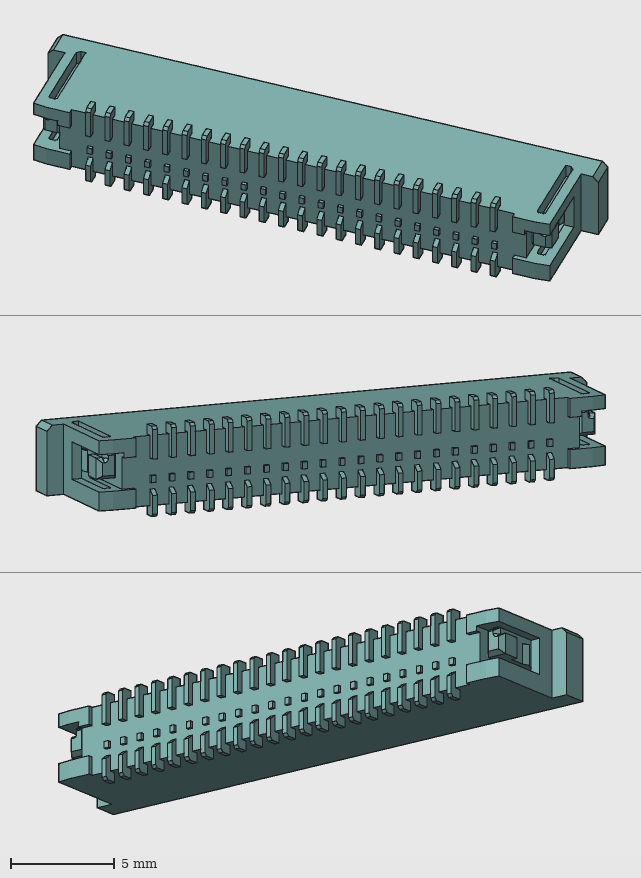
import cadquery as cq
import math

LENGTH = 28.6
DEPTH = 5.75
HEIGHT = 4.5

BODY_HEIGHT = 3.5
BODY_LENGTH = 26.83
FLANGE_DEPTH = 1.32
FLANGE_CHAMFER = 0.3
BODY_DEPTH = 5.4
ARM_DEPTH = 5.65
ARM_LENGTH = 1.92
ARM_HEIGHT = 0.95
ARM_TAPER_LENGTH = 0.72
ARM_TAPER_DEPTH = 0.1

POCKET_BACK = 2.32
POCKET_WIDTH = 1.3
POCKET_ROOF = 0.7

SLOT_INSET = 1.4
SLOT_WIDTH = 0.43
SLOT_BACK = 0.95
SLOT_LENGTH = 3.95
SLOT_FLOOR = 0.45
SLOT_BACK_CHAMFER = 0.17
SLOT_FRONT_CHAMFER = 0.1

LATCH_WIDTH = 0.72
LATCH_HEIGHT = 1.4
LATCH_FRONT = 4.78
LATCH_TIP_LENGTH = 0.31
LATCH_TIP_INSET = 0.2
HOOK_BACK = 3.85
HOOK_WIDTH = 0.31
HOOK_HEIGHT = 1.05
RIDGE_BACK = 2.43
RIDGE_PEAK = 2.63
RIDGE_FRONT = 3.0
RIDGE_WIDTH = 0.15

TERMINAL_COUNT = 22
TERMINAL_PITCH = 1.0
TERMINAL_WIDTH = 0.25
TERMINAL_BACK = 5.05
TERMINAL_CHAMFER = 0.15
UPPER_LEG_DROP = 1.12
LOWER_LEG_RISE = 0.57
LOWER_LEG_ROOT_RISE = 0.83
STUB_BOTTOM = 1.17
STUB_TOP = 1.52
STUB_FRONT = 5.58

END_X = -LENGTH / 2
BODY_END_X = -BODY_LENGTH / 2
BACK_Y = DEPTH / 2
TOP_Z = BODY_HEIGHT / 2
BOTTOM_Z = -BODY_HEIGHT / 2
POCKET_TOP_Z = TOP_Z - POCKET_ROOF
POCKET_FLOOR_Z = BOTTOM_Z + ARM_HEIGHT
SLOT_X = END_X + SLOT_INSET
LATCH_BOTTOM_Z = POCKET_TOP_Z - LATCH_HEIGHT


def from_back(distance):
    """Y of a plane the given distance in front of the back face."""
    return BACK_Y - distance


def block(x_min, x_max, back, front, z_min, z_max):
    """Box between two X, two distances from the back face and two Z."""
    size = (x_max - x_min, front - back, z_max - z_min)
    corner = (x_min, from_back(front), z_min)
    return cq.Workplane("XY").box(*size, centered=False).translate(corner)


def plan_prism(points, z_min, z_max):
    """Vertical prism over (x, distance from back) points."""
    outline = [(x, from_back(distance)) for x, distance in points]
    return cq.Workplane("XY").workplane(offset=z_min).polyline(outline).close().extrude(z_max - z_min)


def both_ends(left):
    """The given left-end solid together with its mirror image."""
    return left.union(left.mirror("YZ"))


def housing_block():
    flange = block(END_X, -END_X, 0, FLANGE_DEPTH, BOTTOM_Z, TOP_Z)
    flange = flange.edges("|Y and >Z").chamfer(FLANGE_CHAMFER)
    return flange.union(block(BODY_END_X, -BODY_END_X, 0, BODY_DEPTH, BOTTOM_Z, TOP_Z))


def end_arm(z_min, z_max):
    return plan_prism(
        [
            (BODY_END_X, FLANGE_DEPTH),
            (BODY_END_X, ARM_DEPTH - ARM_TAPER_DEPTH),
            (BODY_END_X + ARM_TAPER_LENGTH, ARM_DEPTH),
            (BODY_END_X + ARM_LENGTH, ARM_DEPTH),
            (BODY_END_X + ARM_LENGTH, FLANGE_DEPTH),
        ],
        z_min,
        z_max,
    )


def side_pocket():
    return block(
        BODY_END_X, BODY_END_X + POCKET_WIDTH, POCKET_BACK, DEPTH, POCKET_FLOOR_Z, POCKET_TOP_Z
    )


def latch_slot():
    inner_x = SLOT_X + SLOT_WIDTH
    front = SLOT_BACK + SLOT_LENGTH
    return plan_prism(
        [
            (SLOT_X + SLOT_BACK_CHAMFER, SLOT_BACK),
            (inner_x, SLOT_BACK),
            (inner_x, front - SLOT_FRONT_CHAMFER),
            (inner_x - SLOT_FRONT_CHAMFER, front),
            (SLOT_X + SLOT_FRONT_CHAMFER, front),
            (SLOT_X, front - SLOT_FRONT_CHAMFER),
            (SLOT_X, SLOT_BACK + SLOT_BACK_CHAMFER),
        ],
        POCKET_FLOOR_Z - SLOT_FLOOR,
        TOP_Z,
    )


def latch():
    """Bar from the housing into the pocket, with a hooked tip and a pointed ridge near its root."""
    hook_top_z = LATCH_BOTTOM_Z + HOOK_HEIGHT
    bar = block(SLOT_X, SLOT_X + LATCH_WIDTH, SLOT_BACK, LATCH_FRONT, LATCH_BOTTOM_Z, POCKET_TOP_Z)
    hook = block(SLOT_X - HOOK_WIDTH, SLOT_X, HOOK_BACK, LATCH_FRONT, LATCH_BOTTOM_Z, hook_top_z)
    ridge = plan_prism(
        [(SLOT_X, RIDGE_BACK), (SLOT_X - RIDGE_WIDTH, RIDGE_PEAK), (SLOT_X, RIDGE_FRONT)],
        LATCH_BOTTOM_Z,
        hook_top_z,
    )
    taper_angle = math.degrees(math.atan2(LATCH_TIP_INSET, LATCH_TIP_LENGTH))
    hooked_bar = bar.union(hook)
    end_outline = hooked_bar.faces("<Y").wires().toPending().workplane()
    tipped_bar = end_outline.extrude(LATCH_TIP_LENGTH, taper=taper_angle)
    return tipped_bar.union(ridge)


def side_prism(points):
    """Terminal-wide prism centred on X = 0 over (distance from back, z) points."""
    outline = [(from_back(distance), z) for distance, z in points]
    centred = cq.Workplane("YZ").workplane(offset=-TERMINAL_WIDTH / 2)
    return centred.polyline(outline).close().extrude(TERMINAL_WIDTH)


def terminal():
    """Upper leg, small stub and lower leg of one contact position."""
    tip_z = HEIGHT / 2
    upper_leg = side_prism(
        [
            (TERMINAL_BACK, tip_z),
            (DEPTH - TERMINAL_CHAMFER, tip_z),
            (DEPTH, tip_z - TERMINAL_CHAMFER),
            (DEPTH, TOP_Z - UPPER_LEG_DROP),
            (TERMINAL_BACK, TOP_Z - UPPER_LEG_DROP),
        ]
    )
    stub = side_prism(
        [
            (TERMINAL_BACK, BOTTOM_Z + STUB_BOTTOM),
            (STUB_FRONT, BOTTOM_Z + STUB_BOTTOM),
            (STUB_FRONT, BOTTOM_Z + STUB_TOP),
            (TERMINAL_BACK, BOTTOM_Z + STUB_TOP),
        ]
    )
    lower_leg = side_prism(
        [
            (TERMINAL_BACK, -tip_z),
            (DEPTH - TERMINAL_CHAMFER, -tip_z),
            (DEPTH, -tip_z + TERMINAL_CHAMFER),
            (DEPTH, BOTTOM_Z + LOWER_LEG_RISE),
            (BODY_DEPTH, BOTTOM_Z + LOWER_LEG_ROOT_RISE),
            (TERMINAL_BACK, BOTTOM_Z + LOWER_LEG_ROOT_RISE),
        ]
    )
    return upper_leg.union(stub).union(lower_leg)


arms = end_arm(BOTTOM_Z, POCKET_FLOOR_Z).union(end_arm(TOP_Z - ARM_HEIGHT, TOP_Z))
result = housing_block().union(both_ends(arms))
result = result.cut(both_ends(side_pocket())).cut(both_ends(latch_slot()))
result = result.union(both_ends(latch()))

first_terminal_x = -TERMINAL_PITCH * (TERMINAL_COUNT - 1) / 2
for position in range(TERMINAL_COUNT):
    terminal_x = first_terminal_x + position * TERMINAL_PITCH
    result = result.union(terminal().translate((terminal_x, 0, 0)))